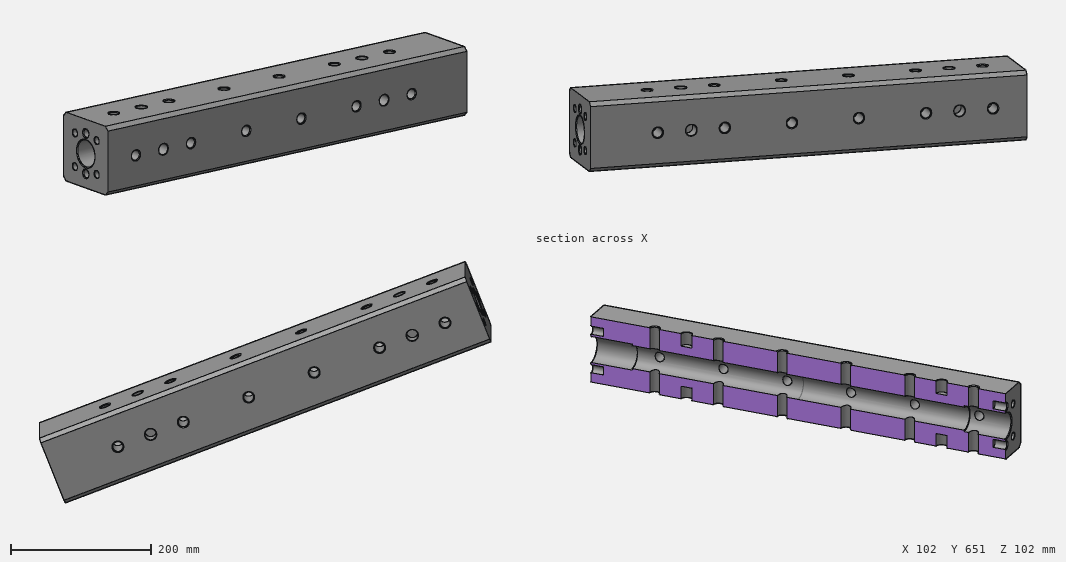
import cadquery as cq
import math

side = 102.0
length = 651.0
edge_chamfer = 6.0
half_side = side / 2
front_end = -length / 2

bore_diameter = 35.0
counterbore_diameter = 40.0
counterbore_mouth_diameter = 42.0
counterbore_depth = 65.0

screw_row_length = 500.0
screw_count = 6
screw_pitch = screw_row_length / (screw_count - 1)
first_screw_margin = 51.0
first_screw_y = front_end + first_screw_margin
screw_diameter = 14.0
screw_mouth_diameter = 17.0

dowel_diameter = 16.0
dowel_mouth_diameter = 17.5
dowel_depth = 19.5

end_screw_spacing = 50.0
end_screw_diameter = 10.5
end_screw_mouth_diameter = 12.0
end_screw_depth = 26.0
drill_point_angle = 118

end_pin_radius = 30.0
end_pin_diameter = 12.0
end_pin_mouth_diameter = 14.0
end_pin_depth = 19.5

screw_ys = [first_screw_y + i * screw_pitch for i in range(screw_count)]
dowel_ys = [screw_ys[0] + screw_pitch / 2, screw_ys[-1] - screw_pitch / 2]


def drill(start, direction, diameter, depth, mouth_diameter=None, point_angle=None):
    """Cutter for a round hole, with an optional 45 degree mouth and a drill point."""
    start = cq.Vector(*start)
    direction = cq.Vector(*direction)
    radius = diameter / 2
    cutter = cq.Workplane(cq.Solid.makeCylinder(radius, depth, start, direction))
    if mouth_diameter:
        mouth_radius = mouth_diameter / 2
        mouth_depth = mouth_radius - radius
        cutter = cutter.add(cq.Solid.makeCone(mouth_radius, radius, mouth_depth, start, direction))
    if point_angle:
        point_depth = radius / math.tan(math.radians(point_angle / 2))
        tip = start + direction * depth
        cutter = cutter.add(cq.Solid.makeCone(radius, 0, point_depth, tip, direction))
    return cutter.combine()


bar = cq.Workplane("XY").box(side, length, side).edges("|Y").chamfer(edge_chamfer)

for out_x, out_z in [(1, 0), (-1, 0), (0, 1), (0, -1)]:
    inward = (-out_x, 0, -out_z)
    for y in screw_ys:
        start = (out_x * half_side, y, out_z * half_side)
        bar = bar.cut(drill(start, inward, screw_diameter, half_side, screw_mouth_diameter))
    for y in dowel_ys:
        start = (out_x * half_side, y, out_z * half_side)
        bar = bar.cut(drill(start, inward, dowel_diameter, dowel_depth, dowel_mouth_diameter))

for end in (-1, 1):
    end_y = end * length / 2
    inward = (0, -end, 0)
    bore_start = (0, end_y, 0)
    bar = bar.cut(drill(bore_start, inward, bore_diameter, length / 2))
    bar = bar.cut(
        drill(
            bore_start,
            inward,
            counterbore_diameter,
            counterbore_depth,
            counterbore_mouth_diameter,
        )
    )
    for up in (-1, 1):
        pin_start = (0, end_y, up * end_pin_radius)
        bar = bar.cut(drill(pin_start, inward, end_pin_diameter, end_pin_depth, end_pin_mouth_diameter))
        for across in (-1, 1):
            start = (across * end_screw_spacing / 2, end_y, up * end_screw_spacing / 2)
            bar = bar.cut(
                drill(
                    start,
                    inward,
                    end_screw_diameter,
                    end_screw_depth,
                    end_screw_mouth_diameter,
                    drill_point_angle,
                )
            )

result = bar